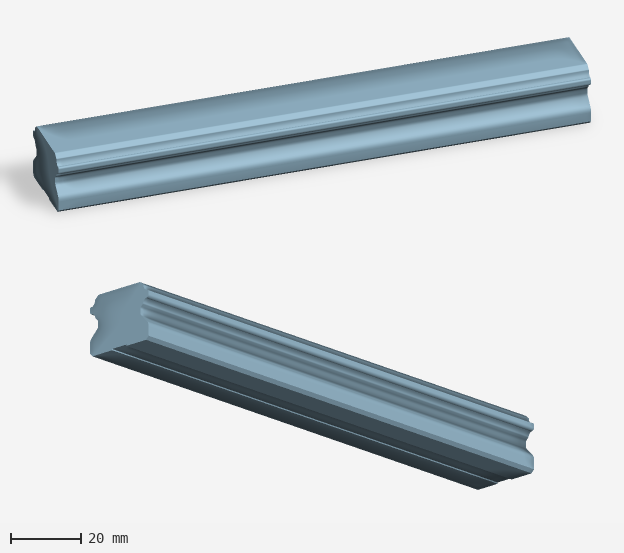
import cadquery as cq

RAIL_WIDTH = 23.0
RAIL_LENGTH = 160.0
RAIL_HEIGHT = 18.0
HALF_WIDTH = RAIL_WIDTH / 2

BASE_CHAMFER = 1.0
RELIEF_HALF_WIDTH = 2.75
RELIEF_DEPTH = 0.4

SHOULDER_HEIGHT = 4.9
SHOULDER_RADIUS = 2.3

WAIST_HALF_WIDTH = 8.3
WAIST_BOTTOM = SHOULDER_HEIGHT + HALF_WIDTH - WAIST_HALF_WIDTH
WAIST_LOWER_RADIUS = 1.3
WAIST_TOP = 10.2
WAIST_UPPER_RADIUS = 0.8

GROOVE_BOTTOM = (9.35, 11.2)
GROOVE_MIDDLE = (9.68, 12.08)
GROOVE_TOP_X = 10.4
GROOVE_LIP_RADIUS = 0.6

LIP_BOTTOM = 12.65
LIP_TOP = 14.95
LIP_LOWER_RADIUS = 0.9
LIP_UPPER_RADIUS = 0.55

LEDGE_INNER_X = 10.6
HOLLOW_MIDDLE = (9.83, 15.6)
HOLLOW_TOP = (9.5, 16.8)
TOP_HALF_WIDTH = 8.1
BEVEL_UPPER_RADIUS = 0.6
BEVEL_LOWER_RADIUS = 0.4

CAP_DIAMETER = 11.0
CAP_THICKNESS = 3.0
CAP_PITCH = 60.0
CAP_COUNT = 3

ROUNDED_CORNERS = [
    ((HALF_WIDTH, SHOULDER_HEIGHT), SHOULDER_RADIUS),
    ((WAIST_HALF_WIDTH, WAIST_BOTTOM), WAIST_LOWER_RADIUS),
    ((WAIST_HALF_WIDTH, WAIST_TOP), WAIST_UPPER_RADIUS),
    (GROOVE_BOTTOM, GROOVE_LIP_RADIUS),
    ((HALF_WIDTH, LIP_BOTTOM), LIP_LOWER_RADIUS),
    ((HALF_WIDTH, LIP_TOP), LIP_UPPER_RADIUS),
    (HOLLOW_TOP, BEVEL_LOWER_RADIUS),
    ((TOP_HALF_WIDTH, RAIL_HEIGHT), BEVEL_UPPER_RADIUS),
]


def make_half_rail():
    """Extrude the +X half of the section along Y and round its corners."""
    half = (
        cq.Workplane("XZ", origin=(0, RAIL_LENGTH / 2, 0))
        .moveTo(0, RELIEF_DEPTH)
        .lineTo(RELIEF_HALF_WIDTH, RELIEF_DEPTH)
        .lineTo(RELIEF_HALF_WIDTH, 0)
        .lineTo(HALF_WIDTH - BASE_CHAMFER, 0)
        .lineTo(HALF_WIDTH, BASE_CHAMFER)
        .lineTo(HALF_WIDTH, SHOULDER_HEIGHT)
        .lineTo(WAIST_HALF_WIDTH, WAIST_BOTTOM)
        .lineTo(WAIST_HALF_WIDTH, WAIST_TOP)
        .lineTo(*GROOVE_BOTTOM)
        .threePointArc(GROOVE_MIDDLE, (GROOVE_TOP_X, LIP_BOTTOM))
        .lineTo(HALF_WIDTH, LIP_BOTTOM)
        .lineTo(HALF_WIDTH, LIP_TOP)
        .lineTo(LEDGE_INNER_X, LIP_TOP)
        .threePointArc(HOLLOW_MIDDLE, HOLLOW_TOP)
        .lineTo(TOP_HALF_WIDTH, RAIL_HEIGHT)
        .lineTo(0, RAIL_HEIGHT)
        .close()
        .extrude(RAIL_LENGTH)
    )
    for (x, z), radius in ROUNDED_CORNERS:
        corner = cq.selectors.NearestToPointSelector((x, 0, z))
        half = half.edges("|Y").edges(corner).fillet(radius)
    return half


def make_rail():
    """Join the half section with its mirror image about the YZ plane."""
    half = make_half_rail()
    return half.union(half.mirror("YZ")).clean()


def add_caps(rail):
    """Fill each hole mouth with a flush cap, keeping its circular seam."""
    caps = (
        cq.Workplane("XY", origin=(0, 0, RAIL_HEIGHT))
        .rarray(1, CAP_PITCH, 1, CAP_COUNT)
        .circle(CAP_DIAMETER / 2)
        .extrude(-CAP_THICKNESS)
    )
    return rail.cut(caps).union(caps, clean=False)


result = add_caps(make_rail())